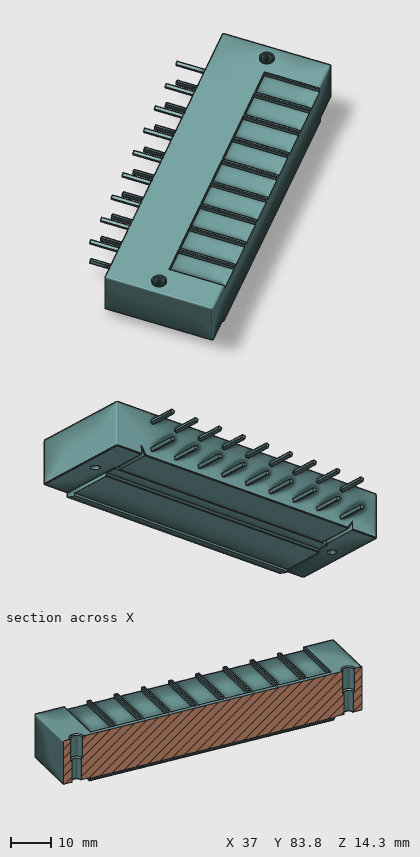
import cadquery as cq

PITCH = 7.62
POSITION_COUNT = 9
BODY_LENGTH = 29.0
BODY_WIDTH = 11 * PITCH
BODY_HEIGHT = 12.5
EDGE_ROUND = 0.5
BOTTOM_CHAMFER = 0.2

PIN_LENGTH = 8.0
PIN_SIDE = 0.9
PIN_TWIST = 18.0
LOWER_PIN_Z = 2.3
UPPER_PIN_Z = LOWER_PIN_Z + PITCH

RECESS_START = 14.2
RECESS_LENGTH = BODY_LENGTH - RECESS_START
RECESS_DEPTH = 1.2
RECESS_WIDTH = 67.0
RIB_THICKNESS = 0.95
LIP_CHAMFER = 0.25

HOLE_X = 13.2
HOLE_SPACING = 10 * PITCH
MOUTH_DIAMETER = 3.8
BORE_DIAMETER = 3.2
NARROW_DIAMETER = 2.5
BORE_DEPTH = BODY_HEIGHT / 2

PLATE_WIDTH = POSITION_COUNT * PITCH
LEDGE_START = 10.25
LEDGE_DROP = 0.25
PLATE_SLOPE_START = 13.35
PLATE_SLOPE_END = 13.65
PLATE_SLOPE_DROP = 0.85
PLATE_DROP = 1.1
HOOK_START = 26.0
HOOK_FLAT = 0.6
HOOK_DROP = 1.79

GROOVE_OUTER_Y = PLATE_WIDTH / 2 - 0.25
GROOVE_WIDTH = 1.35
GROOVE_HEIGHT = 2.0
GROOVE_MOUTH_WIDTH = 1.65
GROOVE_MOUTH_HEIGHT = 2.4


def centred_positions(count):
    """Y positions of a row of features at the contact pitch, centred on Y = 0."""
    return [(i - (count - 1) / 2) * PITCH for i in range(count)]


def make_body():
    block = cq.Workplane("XY").box(BODY_LENGTH, BODY_WIDTH, BODY_HEIGHT, centered=(False, True, False))
    rounded = block.edges("|Z or >Z").fillet(EDGE_ROUND)
    return rounded.faces("<Z").edges().chamfer(BOTTOM_CHAMFER)


def make_recess_bar(y, floor_width, top_width):
    """Bar filling the recess height, with its sides sloping from floor_width to top_width at the top."""
    half_floor = floor_width / 2
    half_top = top_width / 2
    floor_z = BODY_HEIGHT - RECESS_DEPTH
    slope_z = BODY_HEIGHT - LIP_CHAMFER
    section = [
        (y - half_floor, floor_z),
        (y + half_floor, floor_z),
        (y + half_floor, slope_z),
        (y + half_top, BODY_HEIGHT),
        (y - half_top, BODY_HEIGHT),
        (y - half_floor, slope_z),
    ]
    end_plane = cq.Workplane("YZ", origin=(RECESS_START, 0, 0))
    return end_plane.polyline(section).close().extrude(RECESS_LENGTH)


def make_recess():
    """Cutter for the whole recess, with chamfered rims at its two ends and the ribs left standing."""
    recess = make_recess_bar(0, RECESS_WIDTH, RECESS_WIDTH + 2 * LIP_CHAMFER)
    for rib_y in centred_positions(POSITION_COUNT - 1):
        recess = recess.cut(make_recess_bar(rib_y, RIB_THICKNESS, RIB_THICKNESS - 2 * LIP_CHAMFER))
    return recess


def make_mounting_hole(y):
    """Revolved cutter for one stepped hole, with 45 degree mouth and seat."""
    mouth_radius = MOUTH_DIAMETER / 2
    bore_radius = BORE_DIAMETER / 2
    narrow_radius = NARROW_DIAMETER / 2
    seat_z = BODY_HEIGHT - BORE_DEPTH
    half_section = [
        (0, 0),
        (narrow_radius, 0),
        (narrow_radius, seat_z - (bore_radius - narrow_radius)),
        (bore_radius, seat_z),
        (bore_radius, BODY_HEIGHT - (mouth_radius - bore_radius)),
        (mouth_radius, BODY_HEIGHT),
        (0, BODY_HEIGHT),
    ]
    hole = cq.Workplane("XZ").polyline(half_section).close().revolve(360, (0, 0), (0, 1))
    return hole.translate((HOLE_X, y, 0))


def groove_section(side, width, height):
    """Right triangle standing on the underside; side is +1 or -1."""
    outer_y = side * GROOVE_OUTER_Y
    return [
        (outer_y, 0),
        (outer_y, height),
        (outer_y - side * width, 0),
    ]


def make_groove(side):
    """Triangular groove from the pin face to the latch plate ledge, with its slope flared at the mouth."""
    inner = groove_section(side, GROOVE_WIDTH, GROOVE_HEIGHT)
    mouth = groove_section(side, GROOVE_MOUTH_WIDTH, GROOVE_MOUTH_HEIGHT)
    groove = cq.Workplane("YZ").polyline(inner).close().extrude(LEDGE_START)
    flare = cq.Workplane("YZ").polyline(mouth).close()
    flare = flare.workplane(offset=BOTTOM_CHAMFER).polyline(inner).close().loft()
    return groove.union(flare)


def make_latch_plate():
    """Plate with a thin leading ledge and a sloped hook at the end opposite the pins."""
    profile = [
        (LEDGE_START, BOTTOM_CHAMFER),
        (LEDGE_START, -LEDGE_DROP),
        (PLATE_SLOPE_START, -LEDGE_DROP),
        (PLATE_SLOPE_END, -PLATE_SLOPE_DROP),
        (PLATE_SLOPE_END, -PLATE_DROP),
        (HOOK_START, -PLATE_DROP),
        (HOOK_START, -HOOK_DROP),
        (HOOK_START + HOOK_FLAT, -HOOK_DROP),
        (BODY_LENGTH, -PLATE_DROP),
        (BODY_LENGTH, BOTTOM_CHAMFER),
    ]
    return cq.Workplane("XZ").polyline(profile).close().extrude(PLATE_WIDTH / 2, both=True)


def make_pin(y, z, twist):
    """Square pin turned about its own axis, projecting from the pin face."""
    pin = cq.Workplane("YZ").rect(PIN_SIDE, PIN_SIDE).extrude(-PIN_LENGTH)
    return pin.rotate((0, 0, 0), (1, 0, 0), twist).translate((0, y, z))


result = make_body().cut(make_recess())
for end in (-1, 1):
    result = result.cut(make_mounting_hole(end * HOLE_SPACING / 2))
    result = result.cut(make_groove(end))
result = result.union(make_latch_plate())
for pin_y in centred_positions(POSITION_COUNT):
    result = result.union(make_pin(pin_y, UPPER_PIN_Z, PIN_TWIST))
    result = result.union(make_pin(pin_y, LOWER_PIN_Z, -PIN_TWIST))